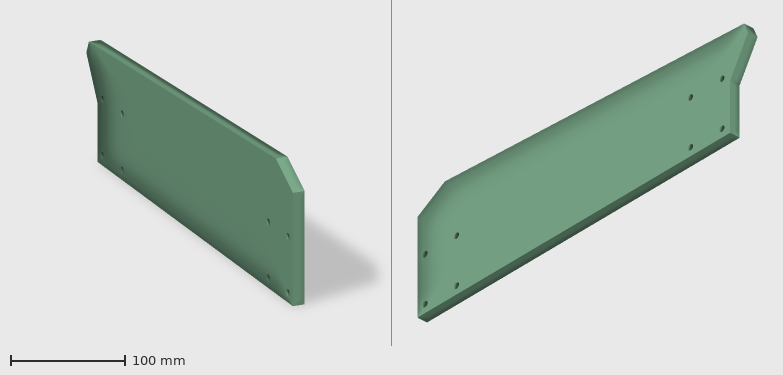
import cadquery as cq

length = 423.0
thickness = 11.5
height = 126.0

foot_inset = 23.0
notch_height = 55.0
tip_height = 94.3
nose_top_inset = 5.0
nose_top_height = 106.0
peak_inset = 35.0
right_edge_height = 105.5

hole_diameter = 6.5
left_hole_inset = 10.5
right_hole_inset = 9.7
column_spacing = 40.0
lower_row = 9.5
upper_row = 61.7

left_column = foot_inset + left_hole_inset
right_column = length - right_hole_inset
hole_columns = [
    left_column,
    left_column + column_spacing,
    right_column - column_spacing,
    right_column,
]
hole_centers = [(x, z) for x in hole_columns for z in (lower_row, upper_row)]

outline = [
    (foot_inset, 0),
    (length, 0),
    (length, right_edge_height),
    (length - peak_inset, height),
    (nose_top_inset, nose_top_height),
    (0, tip_height),
    (foot_inset, notch_height),
]

plate = cq.Workplane("XZ").polyline(outline).close().extrude(-thickness)
holes = cq.Workplane("XZ").pushPoints(hole_centers).circle(hole_diameter / 2).extrude(-thickness)

result = plate.cut(holes)